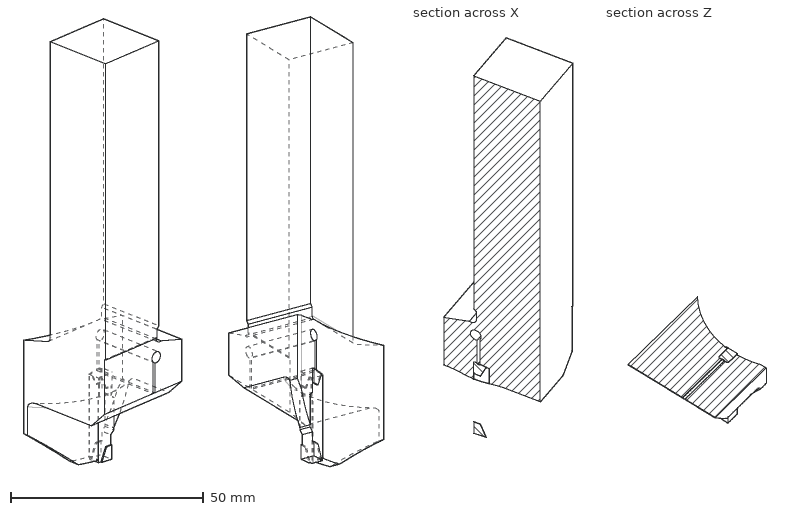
import cadquery as cq
import math

LENGTH = 125.0
WIDTH = 29.6
DEPTH = 29.0

SHANK_SIZE = 20.0
SHANK_LEFT = WIDTH - SHANK_SIZE
RELIEF = 0.4
RELIEF_TOP = 40.2
HEAD_RIGHT = WIDTH - RELIEF

HEAD_BOTTOM = 19.9
CORNER_CHAMFER = 4.8
SHOULDER_SLOPE = math.tan(math.radians(15))
SHOULDER_EDGE_Z = 36.6
SHOULDER_FILLET = 1.5
BACK_GROOVE_DEPTH = 0.8
BACK_GROOVE_TOP = 43.5
BACK_SHOULDER_START = 21.2
BACK_FILLET_TOP = 40.1

BLADE_BOTTOM = 1.0
ARC_CENTER_Y = 19.2
INNER_RADIUS = 25.0
INNER_CENTER_X = -math.sqrt(INNER_RADIUS**2 - ARC_CENTER_Y**2)
INNER_FLAT_Y = 27.1
OUTER_RADIUS = 22.5
OUTER_START_X = 1.5
OUTER_CENTER_X = OUTER_START_X - math.sqrt(OUTER_RADIUS**2 - ARC_CENTER_Y**2)
BLADE_FILLET = 1.9
FRONT_SLANT_TOP = 9.9
FRONT_SLANT_Y = 9.9
BACK_SLANT_TOP = 18.5
BACK_SLANT_SLOPE = 1.27

SLOT_HOLE_DIAMETER = 3.1
SLOT_HOLE_Y = 19.4
SLOT_HOLE_Z = 34.6
SLOT_WIDTH = 0.8
SLOT_Y = 18.5

INSERT_LENGTH = 25.0
INSERT_FRONT = 15.4
INSERT_RAKE = 20.0
INSERT_BACK = 21.1
RAKE_LENGTH = 6.9
STEP_LENGTH = 1.0
END_CLEARANCE = 0.4
INSERT_LEFT = 9.0
INSERT_RIGHT = 12.2
CUTTING_OVERHANG = 0.4
CUTTING_HEIGHT = 4.1
CUTTING_INNER_Y = 18.0
CUTTING_OUTER_Y = 16.2


def arc_x(center_x, radius, y):
    """X of the right-hand side of a plan arc at the given Y."""
    return center_x + math.sqrt(radius**2 - (y - ARC_CENTER_Y)**2)


def side_prism(points, left, right):
    """Extrude a (Y, Z) outline along X between two positions."""
    return cq.Workplane("YZ").workplane(offset=left).polyline(points).close().extrude(right - left)


def make_shank_and_head():
    slope_top = SHOULDER_EDGE_Z + SHOULDER_SLOPE * SHANK_LEFT
    outline = [
        (0, HEAD_BOTTOM),
        (HEAD_RIGHT - CORNER_CHAMFER, HEAD_BOTTOM),
        (HEAD_RIGHT, HEAD_BOTTOM + CORNER_CHAMFER),
        (HEAD_RIGHT, RELIEF_TOP),
        (WIDTH, RELIEF_TOP),
        (WIDTH, LENGTH),
        (SHANK_LEFT, LENGTH),
        (SHANK_LEFT, slope_top),
        (0, SHOULDER_EDGE_Z),
    ]
    body = cq.Workplane("XZ").polyline(outline).close().extrude(-DEPTH)
    inner_corner = cq.selectors.NearestToPointSelector((SHANK_LEFT, DEPTH / 2, slope_top))
    return body.edges(inner_corner).fillet(SHOULDER_FILLET)


def make_back_clearance():
    """Space behind the shank, with the groove, fillet and sloping back shoulder."""
    groove_y = SHANK_SIZE - BACK_GROOVE_DEPTH
    start_z = SHOULDER_EDGE_Z + SHOULDER_SLOPE * (DEPTH - BACK_SHOULDER_START)
    return (
        cq.Workplane("YZ")
        .moveTo(DEPTH, LENGTH)
        .lineTo(SHANK_SIZE, LENGTH)
        .lineTo(SHANK_SIZE, BACK_GROOVE_TOP)
        .lineTo(groove_y, BACK_GROOVE_TOP - BACK_GROOVE_DEPTH)
        .lineTo(groove_y, BACK_FILLET_TOP)
        .tangentArcPoint((BACK_SHOULDER_START, start_z), relative=False)
        .lineTo(DEPTH, SHOULDER_EDGE_Z)
        .close()
        .extrude(WIDTH)
    )


def make_blade():
    """Blade with a convex outer face, running up into the head."""
    return (
        cq.Workplane("XY")
        .workplane(offset=BLADE_BOTTOM)
        .lineTo(OUTER_START_X, 0)
        .threePointArc((OUTER_CENTER_X + OUTER_RADIUS, ARC_CENTER_Y),
                       (arc_x(OUTER_CENTER_X, OUTER_RADIUS, DEPTH), DEPTH))
        .lineTo(0, DEPTH)
        .close()
        .extrude(HEAD_BOTTOM - BLADE_BOTTOM)
    )


def make_concave_clearance():
    """Space on the hollow side of the blade and head."""
    flat_x = arc_x(INNER_CENTER_X, INNER_RADIUS, INNER_FLAT_Y)
    return (
        cq.Workplane("XY")
        .threePointArc((INNER_CENTER_X + INNER_RADIUS, ARC_CENTER_Y), (flat_x, INNER_FLAT_Y))
        .lineTo(flat_x, DEPTH)
        .lineTo(0, DEPTH)
        .close()
        .extrude(SHOULDER_EDGE_Z + WIDTH * SHOULDER_SLOPE)
    )


def make_blade_slants():
    front = side_prism([(0, 0), (FRONT_SLANT_Y, 0), (FRONT_SLANT_Y, BLADE_BOTTOM), (0, FRONT_SLANT_TOP)],
                       0, WIDTH)
    back_foot_y = DEPTH - BACK_SLANT_TOP / BACK_SLANT_SLOPE
    back = side_prism([(DEPTH, 0), (back_foot_y, 0), (DEPTH, BACK_SLANT_TOP)], 0, WIDTH)
    return front.union(back)


def make_clamping_slot():
    hole = (cq.Workplane("YZ").center(SLOT_HOLE_Y, SLOT_HOLE_Z)
            .circle(SLOT_HOLE_DIAMETER / 2).extrude(WIDTH))
    bottom = INSERT_LENGTH - END_CLEARANCE
    slit = (cq.Workplane("XY").workplane(offset=bottom).center(WIDTH / 2, SLOT_Y)
            .rect(WIDTH, SLOT_WIDTH).extrude(SLOT_HOLE_Z - bottom))
    return hole.union(slit)


def insert_outline():
    step_end = RAKE_LENGTH + STEP_LENGTH
    return [
        (INSERT_FRONT, END_CLEARANCE),
        (INSERT_RAKE, 0),
        (INSERT_RAKE, RAKE_LENGTH),
        (INSERT_BACK, step_end),
        (INSERT_BACK, INSERT_LENGTH - step_end),
        (INSERT_RAKE, INSERT_LENGTH - RAKE_LENGTH),
        (INSERT_RAKE, INSERT_LENGTH),
        (INSERT_FRONT, INSERT_LENGTH - END_CLEARANCE),
    ]


def make_insert():
    """Plain middle with a wider cutting end at the bottom and at the top."""
    insert = side_prism(insert_outline(), INSERT_LEFT, INSERT_RIGHT)
    clearance_slope = END_CLEARANCE / (INSERT_RAKE - INSERT_FRONT)
    outer_z = clearance_slope * (INSERT_RAKE - CUTTING_OUTER_Y)
    end_outline = [
        (INSERT_RAKE, 0),
        (INSERT_RAKE, CUTTING_HEIGHT),
        (CUTTING_INNER_Y, CUTTING_HEIGHT),
        (CUTTING_OUTER_Y, outer_z),
    ]
    cutting_end = side_prism(end_outline, INSERT_LEFT - CUTTING_OVERHANG, INSERT_RIGHT + CUTTING_OVERHANG)
    insert = insert.union(cutting_end)
    insert = insert.union(cutting_end.mirror("XY", (0, 0, INSERT_LENGTH / 2)))
    return insert.solids()


def make_holder():
    holder = make_shank_and_head().union(make_blade())
    blade_root = cq.selectors.NearestToPointSelector(
        (OUTER_CENTER_X + OUTER_RADIUS, ARC_CENTER_Y, HEAD_BOTTOM))
    holder = holder.edges(blade_root).fillet(BLADE_FILLET)
    holder = holder.cut(make_back_clearance())
    holder = holder.cut(make_concave_clearance())
    holder = holder.cut(make_blade_slants())
    holder = holder.cut(make_clamping_slot())
    seat = side_prism(insert_outline(), 0, INSERT_RIGHT + CUTTING_OVERHANG)
    return holder.cut(seat).solids()


holder = make_holder()
insert = make_insert()
result = cq.Compound.makeCompound([holder.val(), insert.val()])